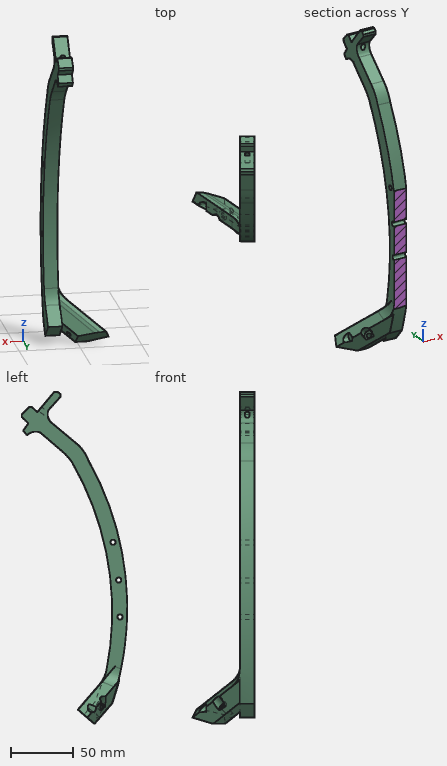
import cadquery as cq
import math

ARM_WIDTH = 11.7
OUTER_RADIUS = 240.0
ARM_THICKNESS = 12.3
INNER_RADIUS = OUTER_RADIUS - ARM_THICKNESS
CENTRE_Y = OUTER_RADIUS
CENTRE_Z = 93.3
BEND_TOP_Z = 211.5
INNER_BEND_TOP_Z = 210.0
LOWER_BEND_RADIUS = 26.7

FOOT_BASE_Y = 26.5
FOOT_RISE_ANGLE = 49.2
RISE_Y = -math.cos(math.radians(FOOT_RISE_ANGLE))
RISE_Z = math.sin(math.radians(FOOT_RISE_ANGLE))
DEPTH_Y = RISE_Z
DEPTH_Z = -RISE_Y
ARM_END_RISE = 6.7
ARM_CORNER_RISE = 21.3
ARM_CORNER_INNER_RISE = 32.8
FOOT_DEPTH = 17.5

FOOT_SECTION = [
    (-46.7, FOOT_DEPTH),
    (-50.0, 7.7),
    (-33.3, 0),
    (-23.7, 0),
    (-24.5, 11.5),
    (-37.3, 16.3),
    (-41.3, 17.3),
]
FOOT_RUN_PER_RISE = 0.96
FOOT_RISE = 45.3
FOOT_TRIM = 133.3
TRIM_SPAN = 266.7

ROOT_LENGTH = 9.3
ROOT_REACH = 21.3

ARM_HOLE_DIAMETER = 4.0
ARM_HOLES = [(11.5, 146.0), (7.0, 115.5), (6.0, 86.0)]
HEAD_HOLE_DIAMETER = 4.0
HEAD_HOLE_CENTRE = (-ARM_WIDTH / 2, 66.7, 250.5)
HEAD_HOLE_DIRECTION = (0, -1, -0.7)
HEAD_HOLE_LENGTH = 10.7
SCREW_AXIS = (1, 0.6, -1)
SCREW_SEAT = (-25.5, 21.3, 14.0)
SCREW_HEAD_DIAMETER = 8.0
SCREW_HOLE_DIAMETER = 4.0
SCREW_LENGTH = 26.7
PIN_FLOOR = (-39.0, 28.3, 13.0)
PIN_DIAMETER = 7.2
PIN_LENGTH = 16.0


def foot_point(rise, depth):
    """(y, z) of a point given along the foot directions."""
    y = FOOT_BASE_Y + rise * RISE_Y + depth * DEPTH_Y
    z = rise * RISE_Z + depth * DEPTH_Z
    return y, z


def arc_point(radius, z):
    """(y, z) on an arm arc of the given radius."""
    return CENTRE_Y - math.sqrt(radius**2 - (z - CENTRE_Z) ** 2), z


def cylinder(start, direction, diameter, length):
    axis = cq.Vector(*direction)
    return cq.Workplane(cq.Solid.makeCylinder(diameter / 2, length, cq.Vector(*start), axis))


def make_arm(width):
    outer_foot = foot_point(ARM_CORNER_RISE, 0)
    inner_foot = foot_point(ARM_CORNER_INNER_RISE, FOOT_DEPTH)
    profile = (
        cq.Workplane("YZ")
        .moveTo(*foot_point(ARM_END_RISE, 0))
        .lineTo(*outer_foot)
        .threePointArc(arc_point(OUTER_RADIUS, CENTRE_Z), arc_point(OUTER_RADIUS, BEND_TOP_Z))
        .threePointArc((35.2, 219.2), (41.5, 226.0))
        .lineTo(60.8, 242.0)
        .threePointArc((63.7, 247.0), (63.2, 252.0))
        .lineTo(53.5, 262.7)
        .lineTo(53.5, 264.8)
        .lineTo(56.0, 266.7)
        .lineTo(58.7, 266.7)
        .lineTo(72.3, 250.5)
        .lineTo(76.8, 254.7)
        .lineTo(78.7, 254.7)
        .lineTo(84.8, 248.5)
        .lineTo(84.8, 246.5)
        .lineTo(79.5, 241.4)
        .lineTo(83.7, 235.5)
        .lineTo(80.5, 231.8)
        .threePointArc((75.5, 234.5), (70.0, 234.0))
        .lineTo(53.0, 219.5)
        .threePointArc((48.5, 215.2), arc_point(INNER_RADIUS, INNER_BEND_TOP_Z))
        .threePointArc(arc_point(INNER_RADIUS, CENTRE_Z), inner_foot)
        .lineTo(*foot_point(ARM_END_RISE, FOOT_DEPTH))
        .close()
    )
    arm = profile.extrude(-width)
    bend = cq.selectors.NearestToPointSelector((-width / 2, *inner_foot))
    return arm.edges(bend).fillet(LOWER_BEND_RADIUS)


def make_foot():
    corners = [cq.Vector(x, *foot_point(0, depth)) for x, depth in FOOT_SECTION]
    outline = cq.Wire.makePolygon(corners, close=True)
    sweep = cq.Vector(FOOT_RUN_PER_RISE, RISE_Y, RISE_Z) * FOOT_RISE
    foot = cq.Workplane(cq.Solid.extrudeLinear(outline, [], sweep))
    beyond_arm_face = cq.Workplane("XY").box(FOOT_TRIM, TRIM_SPAN, TRIM_SPAN, centered=(False, True, True))
    return foot.cut(beyond_arm_face.translate((-ARM_WIDTH, 0, 0)))


def make_root():
    """Rounded corner between the outer side face of the foot and the side of the arm."""
    (back_x, back_depth), (front_x, front_depth) = FOOT_SECTION[:2]
    front_rise = (-ARM_WIDTH - front_x) / FOOT_RUN_PER_RISE
    back_rise = (-ARM_WIDTH - back_x) / FOOT_RUN_PER_RISE
    corner = cq.Vector(-ARM_WIDTH, *foot_point(front_rise, front_depth))
    back_corner = cq.Vector(-ARM_WIDTH, *foot_point(back_rise, back_depth))
    up_arm = cq.Vector(0, RISE_Y, RISE_Z)
    down_foot = cq.Vector(-FOOT_RUN_PER_RISE, -RISE_Y, -RISE_Z).normalized()
    foot_end = corner + down_foot * ROOT_LENGTH
    arm_end = corner + up_arm * ROOT_LENGTH

    half_angle = up_arm.getAngle(down_foot) / 2
    arc_offset = ROOT_LENGTH * (1 - math.sin(half_angle)) / math.cos(half_angle)
    arc_middle = corner + (up_arm + down_foot).normalized() * arc_offset
    outline = cq.Wire.assembleEdges(
        [
            cq.Edge.makeThreePointArc(foot_end, arc_middle, arm_end),
            cq.Edge.makeLine(arm_end, corner),
            cq.Edge.makeLine(corner, foot_end),
        ]
    )
    root = cq.Workplane(cq.Solid.extrudeLinear(outline, [], back_corner - corner))
    return root.intersect(make_arm(ARM_WIDTH + ROOT_REACH))


def cut_holes(body):
    for y, z in ARM_HOLES:
        body = body.cut(cylinder((-ARM_WIDTH, y, z), (1, 0, 0), ARM_HOLE_DIAMETER, ARM_WIDTH))
    half_length = cq.Vector(*HEAD_HOLE_DIRECTION).normalized() * (HEAD_HOLE_LENGTH / 2)
    start = cq.Vector(*HEAD_HOLE_CENTRE) - half_length
    body = body.cut(cylinder(start.toTuple(), HEAD_HOLE_DIRECTION, HEAD_HOLE_DIAMETER, HEAD_HOLE_LENGTH))
    back = tuple(-c for c in SCREW_AXIS)
    body = body.cut(cylinder(SCREW_SEAT, back, SCREW_HEAD_DIAMETER, SCREW_LENGTH))
    body = body.cut(cylinder(SCREW_SEAT, SCREW_AXIS, SCREW_HOLE_DIAMETER, SCREW_LENGTH))
    return body.cut(cylinder(PIN_FLOOR, (-1, 0, 0), PIN_DIAMETER, PIN_LENGTH))


body = make_arm(ARM_WIDTH).union(make_foot()).union(make_root())
result = cut_holes(body)